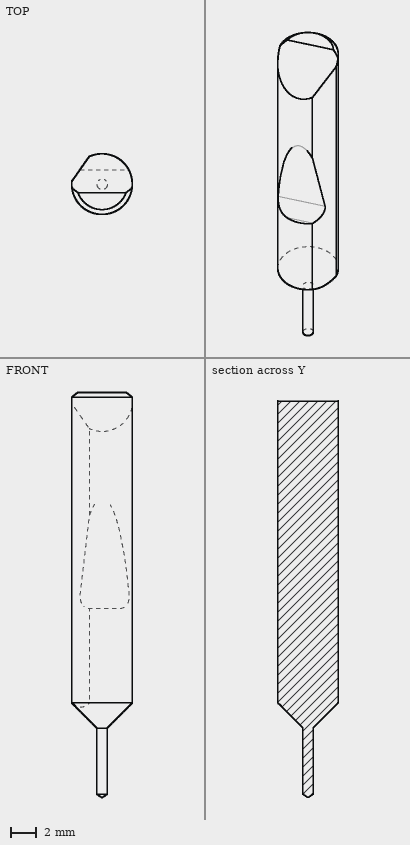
import cadquery as cq
import math

total_length = 31.75
shank_radius = 2.38
pin_radius = 0.4
tip_height = 0.3
shoulder_z = 7.43
end_chamfer = 0.38
bevel_y = -0.67
flat_distance = 2.05
flat_direction = 145.0
notch_floor_z = 14.83
notch_top_z = 23.45
notch_angle = 9.5
notch_radius = 1.0
clearance = 1.6

neck_z = shoulder_z - (shank_radius - pin_radius)


def turned_body():
    """Pointed pin, conical neck and chamfered shank, revolved about Z."""
    return (
        cq.Workplane("XZ")
        .moveTo(0, 0)
        .lineTo(pin_radius, tip_height)
        .lineTo(pin_radius, neck_z)
        .lineTo(shank_radius, shoulder_z)
        .lineTo(shank_radius, total_length - end_chamfer)
        .lineTo(shank_radius - end_chamfer, total_length)
        .lineTo(0, total_length)
        .close()
        .revolve(360, (0, 0, 0), (0, 1, 0))
    )


def extrude_across(points):
    """Extrude a YZ outline across the full width of the shank."""
    return cq.Workplane("YZ").polyline(points).close().extrude(shank_radius + clearance, both=True)


def end_bevel():
    """Wedge that removes the +Y side of the upper end at 45 degrees."""
    outer_y = shank_radius + clearance
    run = outer_y - bevel_y
    return extrude_across([
        (bevel_y - clearance, total_length + clearance),
        (outer_y, total_length - run),
        (outer_y, total_length + clearance),
    ])


def side_flat():
    """Block outside the long flat, turned to face the flat direction."""
    block_width = 2 * (shank_radius + clearance)
    block = cq.Workplane("XY").box(
        clearance, block_width, total_length, centered=(False, True, False)
    )
    return block.translate((flat_distance, 0, 0)).rotate((0, 0, 0), (0, 0, 1), flat_direction)


def clamping_notch():
    """Notch in the +Y side: level floor, rounded corner and long sloped wall."""
    slope = math.tan(math.radians(notch_angle))
    outer_y = shank_radius + clearance
    corner_y = shank_radius - (notch_top_z - notch_floor_z) * slope
    outer_z = notch_top_z + clearance / slope
    cutter = extrude_across([
        (corner_y, notch_floor_z),
        (outer_y, notch_floor_z),
        (outer_y, outer_z),
    ])
    return cutter.edges("|X").edges("<Y").fillet(notch_radius)


result = turned_body().cut(end_bevel()).cut(side_flat()).cut(clamping_notch())